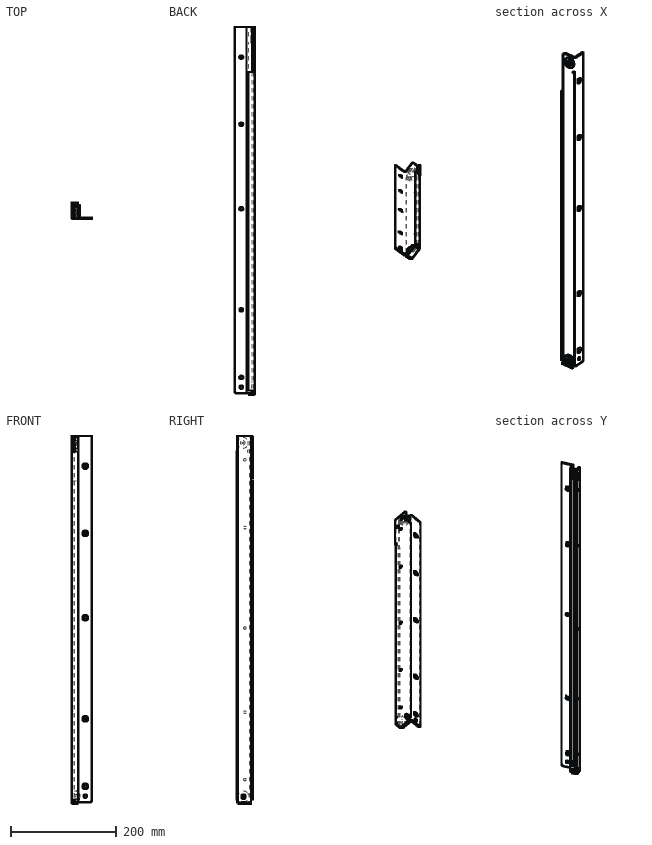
import cadquery as cq
import math

LENGTH = 700.0
WIDTH = 38.5
HEIGHT = 31.5
SHEET = 2.5

CHANNEL_BEND = 3.5
CHANNEL_LIP_X = 12.0
LIP_START = 8.5
LOWER_LIP_END = 670.0
UPPER_LIP_END = 614.5
BEND_RELIEF = 4.0
PLATE_EDGE_Y = 2.0
PLATE_CORNER = 3.5

TAB_REACH = 11.0
TAB_LOW_Y = 4.0
TAB_HIGH_Y = 28.0

RAIL_START = 3.0
RAIL_BEND = 3.0
RAIL_WALL_X = 13.0
RAIL_FLANGE_Y = 1.0
RAIL_TOP_Y = 27.0
RAIL_LIP_X = 5.5
FLANGE_CORNER = 4.0

WEB_HOLE_RADIUS = 2.45
WEB_HOLE_Y = 16.0
WEB_HOLE_HEIGHTS = (46.0, 174.0, 334.5, 526.0, 654.5)
LOCATING_HOLE_RADIUS = 3.0
LOCATING_HOLE_Y = 24.0
LOCATING_HOLE_Z = 670.5
FLANGE_HOLE_X = 26.0
FLANGE_HOLE_RADIUS = 3.0
COUNTERSINK_RADIUS = 5.25
FLANGE_HOLE_HEIGHTS = (33.5, 162.0, 354.0, 514.5, 642.5)
PILOT_HOLE_RADIUS = 3.0
PILOT_HOLE_Z = 15.0

ROLLER_RADIUS = 10.5
UPPER_ROLLER_Y = 12.0
LOWER_ROLLER_Y = 13.0
ROLLER_LEFT = 5.5
ROLLER_RIGHT = 12.0
SLEEVE_RADIUS = 4.0
PIN_RADIUS = 1.05
UPPER_ROLLER_Z = 687.0
LOWER_ROLLER_Z = 14.0

WEB_X = (0, SHEET)
RAIL_WALL = (RAIL_WALL_X, RAIL_WALL_X + SHEET)


def box(x_range, y_range, z_range):
    """A box given by its lowest and highest X, Y and Z."""
    lows, highs = zip(x_range, y_range, z_range)
    sizes = [high - low for low, high in zip(lows, highs)]
    return cq.Workplane().box(*sizes, centered=False).translate(lows)


def rod(radius, y, z, x_range):
    """A solid cylinder along X."""
    left, right = x_range
    start = cq.Vector(left, y, z)
    return cq.Workplane(cq.Solid.makeCylinder(radius, right - left, start, cq.Vector(1, 0, 0)))


def channel_lip(lip_end):
    """The bend and the lip along the Y = 0 edge of the web."""
    inner_bend = CHANNEL_BEND - SHEET
    outer_mid = CHANNEL_BEND - CHANNEL_BEND * math.sqrt(0.5)
    inner_mid = CHANNEL_BEND - inner_bend * math.sqrt(0.5)
    return (
        cq.Workplane("XY", origin=(0, 0, LIP_START))
        .moveTo(0, CHANNEL_BEND)
        .threePointArc((outer_mid, outer_mid), (CHANNEL_BEND, 0))
        .lineTo(CHANNEL_LIP_X, 0)
        .lineTo(CHANNEL_LIP_X, SHEET)
        .lineTo(CHANNEL_BEND, SHEET)
        .threePointArc((inner_mid, inner_mid), (SHEET, CHANNEL_BEND))
        .close()
        .extrude(lip_end - LIP_START)
    )


def channel_web():
    """The flat web, widened above the end of each lip into a plate with rounded corners."""
    web = box(WEB_X, (CHANNEL_BEND, HEIGHT - CHANNEL_BEND), (LIP_START, LENGTH))
    low_edge = box(WEB_X, (PLATE_EDGE_Y, CHANNEL_BEND), (LOWER_LIP_END + BEND_RELIEF, LENGTH))
    high_edge = box(WEB_X, (HEIGHT - CHANNEL_BEND, HEIGHT), (UPPER_LIP_END + BEND_RELIEF, LENGTH))
    web = web.union(low_edge).union(high_edge).clean()
    return web.edges("|X and >Z").fillet(PLATE_CORNER)


def stop_tab():
    """The lower end of the web, bent inward across the channel."""
    block = box((0, TAB_REACH), (TAB_LOW_Y, TAB_HIGH_Y), (0, LIP_START))
    hollow = box((SHEET, TAB_REACH), (TAB_LOW_Y, TAB_HIGH_Y), (SHEET, LIP_START))
    tab = block.edges("|Y and <X and <Z").fillet(CHANNEL_BEND)
    return tab.cut(hollow.edges("|Y and <X and <Z").fillet(CHANNEL_BEND - SHEET))


def make_channel():
    lower_lip = channel_lip(LOWER_LIP_END)
    upper_lip = channel_lip(UPPER_LIP_END).mirror("XZ").translate((0, HEIGHT, 0))
    channel = channel_web().union(lower_lip).union(upper_lip).union(stop_tab())
    for z in WEB_HOLE_HEIGHTS:
        channel = channel.cut(rod(WEB_HOLE_RADIUS, WEB_HOLE_Y, z, WEB_X))
    channel = channel.cut(rod(LOCATING_HOLE_RADIUS, LOCATING_HOLE_Y, LOCATING_HOLE_Z, WEB_X))
    return channel.cut(rod(SLEEVE_RADIUS, UPPER_ROLLER_Y, UPPER_ROLLER_Z, WEB_X))


def rail_profile():
    """The rail section, extruded over its length, with both main bends rounded."""
    wall_left, wall_right = RAIL_WALL
    flange_back = RAIL_FLANGE_Y + SHEET
    lip_under = RAIL_TOP_Y - SHEET
    rail = (
        cq.Workplane("XY", origin=(0, 0, RAIL_START))
        .moveTo(WIDTH, RAIL_FLANGE_Y)
        .lineTo(wall_left, RAIL_FLANGE_Y)
        .lineTo(wall_left, lip_under)
        .lineTo(RAIL_LIP_X, lip_under)
        .lineTo(RAIL_LIP_X, RAIL_TOP_Y)
        .lineTo(wall_right, RAIL_TOP_Y)
        .lineTo(wall_right, flange_back)
        .lineTo(WIDTH, flange_back)
        .close()
        .extrude(LENGTH - RAIL_START)
    )
    outer_bends = [(wall_left, RAIL_FLANGE_Y), (wall_right, RAIL_TOP_Y)]
    inner_bends = [(wall_right, flange_back), (wall_left, lip_under)]
    for corners, radius in ((outer_bends, RAIL_BEND), (inner_bends, RAIL_BEND - SHEET)):
        for x, y in corners:
            corner = cq.selectors.NearestToPointSelector((x, y, (RAIL_START + LENGTH) / 2))
            rail = rail.edges("|Z").edges(corner).fillet(radius)
    return rail


def countersunk_hole(z):
    """A flange hole whose cone opens toward -Y over the full sheet thickness."""
    mouth = cq.Vector(FLANGE_HOLE_X, RAIL_FLANGE_Y, z)
    inward = cq.Vector(0, 1, 0)
    cone = cq.Solid.makeCone(COUNTERSINK_RADIUS, FLANGE_HOLE_RADIUS, SHEET, mouth, inward)
    return cq.Workplane(cone)


def make_rail():
    rail = rail_profile().edges("|Y and >X and <Z").fillet(FLANGE_CORNER)
    for z in FLANGE_HOLE_HEIGHTS:
        rail = rail.cut(countersunk_hole(z))
    flange_face = cq.Workplane("XZ", origin=(FLANGE_HOLE_X, RAIL_FLANGE_Y, PILOT_HOLE_Z))
    rail = rail.cut(flange_face.circle(PILOT_HOLE_RADIUS).extrude(-SHEET))
    return rail.cut(rod(SLEEVE_RADIUS, LOWER_ROLLER_Y, LOWER_ROLLER_Z, RAIL_WALL))


def make_roller(y, z):
    span = (ROLLER_LEFT, ROLLER_RIGHT)
    return rod(ROLLER_RADIUS, y, z, span).cut(rod(SLEEVE_RADIUS, y, z, span))


def make_sleeve(y, z, span):
    return rod(SLEEVE_RADIUS, y, z, span).cut(rod(PIN_RADIUS, y, z, span))


def make_pin(y, z, span):
    return rod(PIN_RADIUS, y, z, span)


channel = make_channel()
rail = make_rail()

roller_supports = [
    (UPPER_ROLLER_Y, UPPER_ROLLER_Z, (WEB_X[0], ROLLER_RIGHT)),
    (LOWER_ROLLER_Y, LOWER_ROLLER_Z, (ROLLER_LEFT, RAIL_WALL[1])),
]
rollers = [make_roller(y, z) for y, z, span in roller_supports]
sleeves = [make_sleeve(y, z, span) for y, z, span in roller_supports]
pins = [make_pin(y, z, span) for y, z, span in roller_supports]

result = cq.Compound.makeCompound(
    [channel.val(), rail.val()] + [body.val() for body in rollers + sleeves + pins]
)